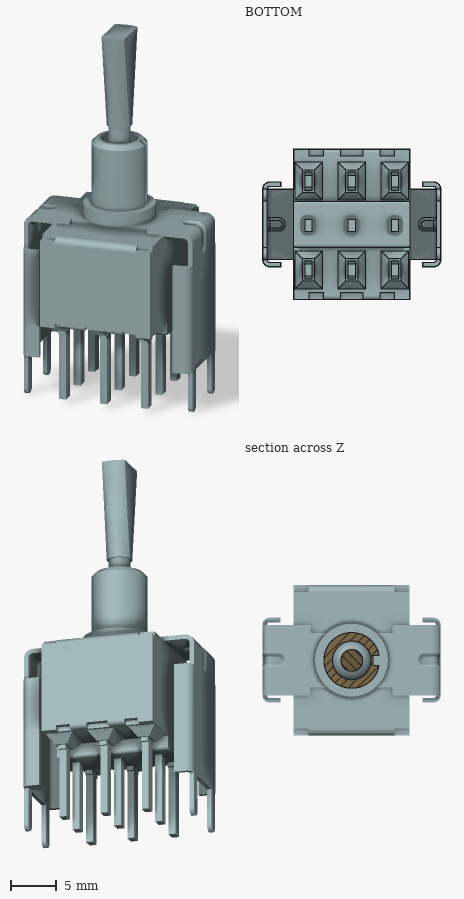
import cadquery as cq
import math

TOTAL_HEIGHT = 42.0
CASE_BOTTOM = 9.7
CASE_TOP = 20.2

CASE_X = 12.75
CASE_Y = 16.5
LEDGE_DEPTH = 0.75
LEDGE_HEIGHT = 0.5
TAB_X = 9.4
TAB_RADIUS = LEDGE_DEPTH
BOTTOM_ROUND = 0.4
BOTTOM_GAP_X = 1.9
BOTTOM_GAP_CENTER = 2.2
BASE_Y = 5.05
BASE_BOTTOM = 8.2
BASE_ROUND = 0.3

PIN_PITCH_X = 4.75
PIN_PITCH_Y = 4.85
PIN_ROW_OFFSET = 0.13
PIN_X = 0.8
PIN_Y = 1.3
PIN_BOTTOM = 0.5
SHOULDER_Y = 2.0
SEAL_X = 1.35
SEAL_Y = 2.48
SEAL_FLARE = 0.85
SEAL_BOTTOM = 8.65

BRACKET_X = 19.55
BRACKET_Y = 7.73
SHEET = 0.5
BEND_RADIUS = 2 * SHEET
BRACKET_TOP = CASE_TOP + SHEET
WAIST_X = 9.0
WAIST_Y = 5.95
LEG_BOTTOM = 4.75
PRONG_Y = 1.3
TIP_RADIUS = PRONG_Y / 2 - 0.005
LIP_TOP = 17.15
LIP_LENGTH = 2.0
LIP_RADIUS = 0.8
GROOVE_WIDTH = 1.45
GROOVE_FLOOR = 0.85
GROOVE_DEPTH = 0.3
GROOVE_ON_TOP = 2.48
GROOVE_ON_LEG = 3.2

COLLAR_DIAMETER = 7.98
COLLAR_TOP = 22.2
BUSHING_DIAMETER = 6.17
BUSHING_TOP = 29.7
BUSHING_CHAMFER = 0.5
BORE_DIAMETER = 4.2
KEYWAY_WIDTH = 1.0
KEYWAY_RADIUS = 2.35

BALL_DIAMETER = BORE_DIAMETER
BALL_CENTER = COLLAR_TOP
STEM_DIAMETER = 2.45
PADDLE_BOTTOM = 31.2
PADDLE_X = 2.65
PADDLE_ROOT_DIAMETER = 2.8
PADDLE_TOP_Y = 5.0
PADDLE_TOP_FLAT = 4.5


def block(size_x, size_y, bottom, top, x=0, y=0):
    """Upright box centred on x, y."""
    return (
        cq.Workplane("XY", origin=(x, y, bottom))
        .rect(size_x, size_y)
        .extrude(top - bottom)
    )


def cylinder(diameter, bottom, top):
    """Upright cylinder on the lever axis."""
    return cq.Workplane("XY", origin=(0, 0, bottom)).circle(diameter / 2).extrude(top - bottom)


def both_sides(shape, plane):
    """The shape together with its mirror image."""
    return shape.union(shape.mirror(plane))


def edge_rounding(length, radius, y, z, x=0):
    """Waste of a rounded -Y edge; a negative radius rounds the lower edge, a positive one the upper."""
    size = abs(radius)
    corner = cq.Workplane("XY").box(length, size, size).translate((x, y + size / 2, z - radius / 2))
    rod = (
        cq.Workplane("YZ", origin=(x - length / 2, y + size, z - radius))
        .circle(size)
        .extrude(length)
    )
    return corner.cut(rod)


def make_case():
    case = block(CASE_X, CASE_Y, CASE_BOTTOM, CASE_TOP)
    front = -CASE_Y / 2

    corner_x = (CASE_X - TAB_X) / 2
    waste = edge_rounding(TAB_X, TAB_RADIUS, front, CASE_TOP)
    for side in (-1, 1):
        waste = waste.union(
            block(
                corner_x,
                LEDGE_DEPTH,
                CASE_TOP - LEDGE_HEIGHT,
                CASE_TOP,
                side * (CASE_X - corner_x) / 2,
                front + LEDGE_DEPTH / 2,
            )
        )

    notches = block(
        TAB_X, LEDGE_DEPTH, CASE_BOTTOM, CASE_BOTTOM + LEDGE_HEIGHT, 0, front + LEDGE_DEPTH / 2
    )
    for side in (-1, 1):
        x = side * BOTTOM_GAP_CENTER
        notches = notches.cut(
            block(BOTTOM_GAP_X, CASE_Y, CASE_BOTTOM, CASE_TOP, x, front)
        )
        waste = waste.union(edge_rounding(BOTTOM_GAP_X, -BOTTOM_ROUND, front, CASE_BOTTOM, x))
    case = case.cut(both_sides(waste.union(notches), "XZ"))

    base = block(CASE_X, BASE_Y, BASE_BOTTOM, CASE_BOTTOM).edges("|X and <Z").fillet(BASE_ROUND)
    return case.union(base)


def make_pin(x, y, outer_row):
    pin = block(PIN_X, PIN_Y, PIN_BOTTOM, CASE_BOTTOM, x, y)
    if outer_row:
        seal = (
            cq.Workplane("XY", origin=(x, y, SEAL_BOTTOM))
            .rect(SEAL_X, SEAL_Y)
            .workplane(offset=CASE_BOTTOM - SEAL_BOTTOM)
            .rect(SEAL_X + 2 * SEAL_FLARE, SEAL_Y + 2 * SEAL_FLARE)
            .loft(ruled=True)
        )
        shoulder = block(PIN_X, SHOULDER_Y, BASE_BOTTOM, CASE_BOTTOM, x, y)
        pin = pin.union(shoulder).union(seal)
    return pin


def make_bushing():
    collar = cylinder(COLLAR_DIAMETER, BRACKET_TOP, COLLAR_TOP)
    barrel = cylinder(BUSHING_DIAMETER, COLLAR_TOP, BUSHING_TOP).faces(">Z").chamfer(BUSHING_CHAMFER)
    keyway = block(
        BUSHING_DIAMETER, KEYWAY_WIDTH, COLLAR_TOP, BUSHING_TOP, KEYWAY_RADIUS + BUSHING_DIAMETER / 2
    )
    return collar.union(barrel.cut(keyway))


def make_stiffener(depth):
    """Ridge pressed across the -X top bend, starting at a depth below the outer sheet face."""
    wide = GROOVE_WIDTH / 2
    narrow = GROOVE_FLOOR / 2
    start = BEND_RADIUS - depth
    end = start - GROOVE_DEPTH
    top_run = GROOVE_ON_TOP - BEND_RADIUS - wide
    leg_run = GROOVE_ON_LEG - BEND_RADIUS - wide
    bend = (-BRACKET_X / 2 + BEND_RADIUS, 0, BRACKET_TOP - BEND_RADIUS)

    section_plane = cq.Plane(origin=bend, xDir=(0, 1, 0), normal=(1, 0, 0))
    section = [(-wide, start), (wide, start), (narrow, end), (-narrow, end)]
    along_top = cq.Workplane(section_plane).polyline(section).close().extrude(top_run)
    around = cq.Workplane(section_plane).polyline(section).close().revolve(90, (0, 0), (-1, 0))
    half_cone = [(0, start), (wide, start), (narrow, end), (0, end)]
    cone = cq.Workplane("XZ").polyline(half_cone).close().revolve(360, (0, 0), (0, 1))
    top_end = cone.translate((bend[0] + top_run, 0, bend[2]))
    along_leg = (
        cq.Workplane(section_plane).polyline(section).close().extrude(-leg_run)
        .rotate(bend, (bend[0], 1, bend[2]), -90)
    )
    leg_end = cone.rotate((0, 0, 0), (0, 1, 0), -90).translate((bend[0], 0, bend[2] - leg_run))
    return along_top.union(around).union(top_end).union(along_leg).union(leg_end)


def make_lip():
    """Curled edge on the -Y side of the -X leg."""
    outer = -BRACKET_X / 2
    bend_y = -BRACKET_Y / 2
    inner_radius = LIP_RADIUS - SHEET
    diagonal = math.sqrt(0.5)
    center_x = outer + LIP_RADIUS
    return (
        cq.Workplane("XY", origin=(0, 0, LEG_BOTTOM))
        .moveTo(outer, bend_y)
        .threePointArc(
            (center_x - LIP_RADIUS * diagonal, bend_y - LIP_RADIUS * diagonal),
            (center_x, bend_y - LIP_RADIUS),
        )
        .lineTo(outer + LIP_LENGTH, bend_y - LIP_RADIUS)
        .lineTo(outer + LIP_LENGTH, bend_y - inner_radius)
        .lineTo(center_x, bend_y - inner_radius)
        .threePointArc(
            (center_x - inner_radius * diagonal, bend_y - inner_radius * diagonal),
            (outer + SHEET, bend_y),
        )
        .close()
        .extrude(LIP_TOP - LEG_BOTTOM)
    )


def make_bracket():
    bracket = block(BRACKET_X, BRACKET_Y, 0, BRACKET_TOP).edges("|Y and >Z").fillet(BEND_RADIUS)
    inside = block(BRACKET_X - 2 * SHEET, BRACKET_Y, 0, CASE_TOP)
    inside = inside.edges("|Y and >Z").fillet(BEND_RADIUS - SHEET)
    bracket = bracket.cut(inside)

    bracket = bracket.cut(block(BRACKET_X, BRACKET_Y - 2 * PRONG_Y, 0, LEG_BOTTOM))
    bracket = bracket.edges("|X and <Z").fillet(TIP_RADIUS)

    waist = block(WAIST_X, BRACKET_Y, CASE_TOP, BRACKET_TOP)
    waist = waist.cut(block(WAIST_X, WAIST_Y, CASE_TOP, BRACKET_TOP))
    bracket = bracket.cut(waist)

    lips = both_sides(both_sides(make_lip(), "XZ"), "YZ")
    ridges = both_sides(make_stiffener(SHEET), "YZ")
    grooves = both_sides(make_stiffener(0), "YZ")
    return bracket.union(lips).union(ridges).cut(grooves)


def make_housing():
    housing = make_case().union(make_bracket()).union(make_bushing())
    for column in (-1, 0, 1):
        for row in (-1, 0, 1):
            y = PIN_ROW_OFFSET + row * PIN_PITCH_Y
            housing = housing.union(make_pin(column * PIN_PITCH_X, y, row != 0))
    bore = cylinder(BORE_DIAMETER, BALL_CENTER, BUSHING_TOP)
    socket = cq.Workplane("XY").sphere(BALL_DIAMETER / 2).translate((0, 0, BALL_CENTER))
    return housing.cut(bore.union(socket))


def paddle_section(workplane, flat, size_y):
    """Two flats joined by bulged ends."""
    half_x = PADDLE_X / 2
    half_flat = flat / 2
    return (
        workplane.moveTo(-half_x, -half_flat)
        .threePointArc((0, -size_y / 2), (half_x, -half_flat))
        .lineTo(half_x, half_flat)
        .threePointArc((0, size_y / 2), (-half_x, half_flat))
        .close()
    )


def make_lever():
    ball = cq.Workplane("XY").sphere(BALL_DIAMETER / 2).translate((0, 0, BALL_CENTER))
    stem = cylinder(STEM_DIAMETER, BALL_CENTER, PADDLE_BOTTOM)
    root_flat = math.sqrt(PADDLE_ROOT_DIAMETER**2 - PADDLE_X**2)
    root = cq.Workplane("XY", origin=(0, 0, PADDLE_BOTTOM))
    tip = paddle_section(root, root_flat, PADDLE_ROOT_DIAMETER).workplane(
        offset=TOTAL_HEIGHT - PADDLE_BOTTOM
    )
    paddle = paddle_section(tip, PADDLE_TOP_FLAT, PADDLE_TOP_Y).loft(ruled=True)
    return ball.union(stem).union(paddle)


housing = make_housing()
lever = make_lever()
result = cq.Compound.makeCompound([housing.val(), lever.val()])